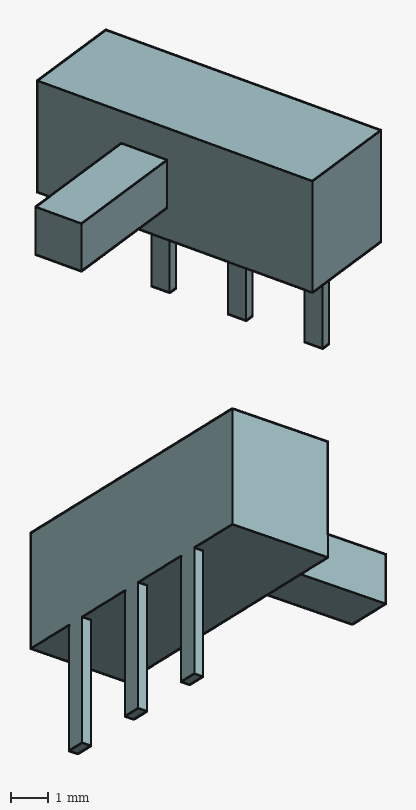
import cadquery as cq

body_length = 9.0
body_depth = 3.2
body_height = 3.5

lever_side = 1.5
lever_length = 4.0
lever_offset = -1.0

pin_count = 3
pin_pitch = 2.5
pin_width = 0.6
pin_thickness = 0.3
pin_length = 3.8


def make_body():
    return cq.Workplane("XY").box(body_length, body_depth, body_height, centered=(True, False, False))


def make_lever():
    lever = cq.Workplane("XY").box(lever_side, lever_length, lever_side, centered=(True, False, True))
    return lever.translate((lever_offset, -lever_length, body_height / 2))


def make_pin(x_center):
    pin = cq.Workplane("XY").box(pin_width, pin_thickness, pin_length, centered=(True, False, False))
    return pin.translate((x_center, body_depth - pin_thickness, -pin_length))


result = make_body().union(make_lever())
for index in range(pin_count):
    pin_x = (index - (pin_count - 1) / 2) * pin_pitch
    result = result.union(make_pin(pin_x))